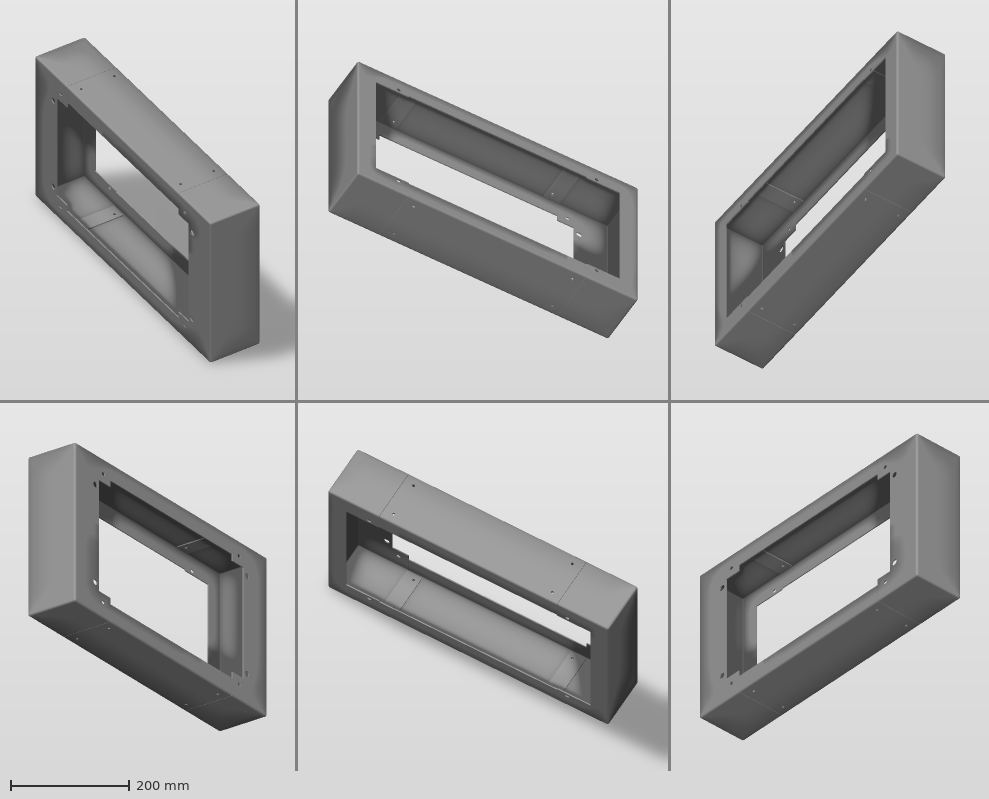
import cadquery as cq

LENGTH = 550.0
DEPTH = 100.0
HEIGHT = 300.0

SHEET = 2.0
OUTER_BEND = 3.65
INNER_BEND = OUTER_BEND - SHEET

CAP_LENGTH = 100.0
FRONT_FLANGE = 68.0
FRONT_TAB_HEIGHT = 45.0
BACK_FLANGE = 35.0
MOUNT_SLOT_LENGTH = 11.5
MOUNT_SLOT_WIDTH = 10.0
MOUNT_SLOT_INSET = 58.0
TAB_SLOT_LENGTH = 8.0
TAB_SLOT_WIDTH = 6.0
TAB_SLOT_FROM_END = 81.0
TAB_SLOT_FROM_EDGE = 28.5

JOINT_GAP = 0.5
RAIL_LENGTH = LENGTH - 2 * (CAP_LENGTH + JOINT_GAP)
RAIL_FLANGE = 33.0

PLATE_LENGTH = 30.0
PLATE_WIDTH = 90.0
PLATE_THICKNESS = SHEET
PLATE_OVERLAP = 2 * JOINT_GAP

SCREW_DIAMETER = 5.0
SCREW_FROM_JOINT = 19.0
SCREW_SPACING = 66.5

JOINT_X = LENGTH / 2 - CAP_LENGTH
SCREW_X = JOINT_X - SCREW_FROM_JOINT


def cap_block(length, depth, height, radius):
    """Solid block at the -X end, ending at the joint, rounded except around its joint face."""
    block = cq.Workplane("XY").box(length, depth, height)
    block = block.edges("|X or <X").fillet(radius)
    return block.translate((-JOINT_X - length / 2, 0, 0))


def cap_slots(length, width, from_end, from_edge):
    """Pair of slots, one near the top and one near the bottom, through both flanges."""
    x = from_end - LENGTH / 2
    z = HEIGHT / 2 - from_edge
    return (
        cq.Workplane("XZ")
        .pushPoints([(x, z), (x, -z)])
        .slot2D(length, width)
        .extrude(DEPTH, both=True)
    )


def flange_window(flange_width, tab_height, flange_y):
    """Block that opens one flange of the left cap, leaving the flange width and its tabs."""
    length = CAP_LENGTH - flange_width
    window = cq.Workplane("XY").box(length, DEPTH, HEIGHT - 2 * tab_height)
    return window.translate((-JOINT_X - length / 2, flange_y, 0))


def make_left_cap():
    """Folded box, open towards the rails, with C-shaped front and back flanges."""
    outer = cap_block(CAP_LENGTH, DEPTH, HEIGHT, OUTER_BEND)
    cavity = cap_block(CAP_LENGTH - SHEET, DEPTH - 2 * SHEET, HEIGHT - 2 * SHEET, INNER_BEND)
    front_window = flange_window(FRONT_FLANGE, FRONT_TAB_HEIGHT, -DEPTH / 2)
    back_window = flange_window(BACK_FLANGE, BACK_FLANGE, DEPTH / 2)
    mount_slots = cap_slots(MOUNT_SLOT_LENGTH, MOUNT_SLOT_WIDTH, MOUNT_SLOT_INSET, MOUNT_SLOT_INSET)
    tab_slots = cap_slots(TAB_SLOT_LENGTH, TAB_SLOT_WIDTH, TAB_SLOT_FROM_END, TAB_SLOT_FROM_EDGE)
    return outer.cut(cavity).cut(front_window).cut(back_window).cut(mount_slots).cut(tab_slots)


def screw_holes():
    """Vertical drills for all the screws, through the full height of the frame."""
    return (
        cq.Workplane("XY")
        .rarray(2 * SCREW_X, SCREW_SPACING, 2, 2)
        .circle(SCREW_DIAMETER / 2)
        .extrude(HEIGHT, both=True)
    )


def make_top_rail():
    """U-channel with its web on top and its two flanges hanging down."""
    web_z = HEIGHT / 2
    inner_depth = DEPTH - 2 * SHEET
    outer = (
        cq.Workplane("XY")
        .box(RAIL_LENGTH, DEPTH, RAIL_FLANGE)
        .edges("|X and >Z")
        .fillet(OUTER_BEND)
        .translate((0, 0, web_z - RAIL_FLANGE / 2))
    )
    channel = (
        cq.Workplane("XY")
        .box(RAIL_LENGTH, inner_depth, RAIL_FLANGE)
        .edges("|X and >Z")
        .fillet(INNER_BEND)
        .translate((0, 0, web_z - SHEET - RAIL_FLANGE / 2))
    )
    return outer.cut(channel).cut(screw_holes())


def make_splice_plate(side_x, side_z):
    """Flat plate on the inside of a rail web, with one end resting on the cap wall."""
    x = side_x * (JOINT_X + PLATE_OVERLAP - PLATE_LENGTH / 2)
    z = side_z * (HEIGHT / 2 - SHEET - PLATE_THICKNESS / 2)
    plate = cq.Workplane("XY").box(PLATE_LENGTH, PLATE_WIDTH, PLATE_THICKNESS)
    return plate.translate((x, 0, z)).cut(screw_holes())


left_cap = make_left_cap()
right_cap = left_cap.mirror("YZ")

top_rail = make_top_rail()
bottom_rail = top_rail.mirror("XY")

splice_plates = [make_splice_plate(side_x, side_z) for side_x in (-1, 1) for side_z in (-1, 1)]

result = cq.Compound.makeCompound([
    left_cap.val(),
    right_cap.val(),
    top_rail.val(),
    bottom_rail.val(),
    *[plate.val() for plate in splice_plates],
])